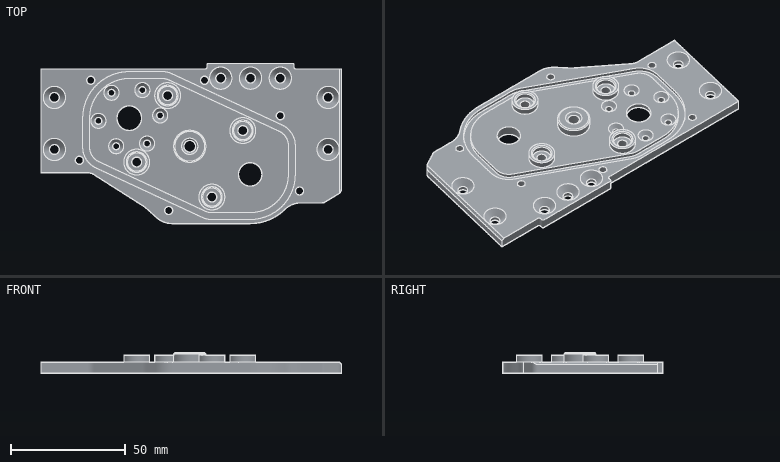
import cadquery as cq
import math

LENGTH = 130.8
THICKNESS = 5.0
BACK_EDGE = 67.4
LEFT_FRONT_EDGE = 22.1
RIGHT_FRONT_EDGE = 9.0
END_CHAMFER = 1.0

TAB_LEFT = 72.2
TAB_RIGHT = 110.2
TAB_BACK = 69.7
TAB_FILLET = 0.7

SHALLOW_RUN_START = 21.9
SLOPE_CHANGE = (45.3, 7.2)
STEEP_RUN_END = 53.3
SLOPE_START_FILLET = 5.0
SLOPE_CHANGE_FILLET = 11.8
SLOPE_END_FILLET = 10.0

CORNER_RADIUS = 21.5
SWEEP_RADIUS = 10.0
BEVEL_START = 123.0
BEVEL_END = 13.7
BEVEL_START_FILLET = 2.0
BEVEL_END_FILLET = 3.0

LEFT_SHAFT = (38.5, 45.9)
RIGHT_SHAFT = (91.1, 21.5)
HUB_CENTER = (
    (LEFT_SHAFT[0] + RIGHT_SHAFT[0]) / 2,
    (LEFT_SHAFT[1] + RIGHT_SHAFT[1]) / 2,
)
SHAFT_AXIS_ANGLE = math.atan2(LEFT_SHAFT[1] - RIGHT_SHAFT[1], RIGHT_SHAFT[0] - LEFT_SHAFT[0])
LEFT_SHAFT_HOLE = 10.6
LEFT_SHAFT_RECESS = 20.0
LEFT_SHAFT_RECESS_DEPTH = 2.5
RIGHT_SHAFT_HOLE = 10.1

GROOVE_SHAFT_RADIUS_LEFT = 20.3
GROOVE_SHAFT_RADIUS_RIGHT = 19.6
GROOVE_FILLET = 10.0
GROOVE_WIDTH = 3.0
GROOVE_DEPTH = 2.0
GROOVE_TOP_BEND = 55.0
GROOVE_BOTTOM_BEND = 72.2

HUB_DIAMETER = 14.0
HUB_TOP = 9.0
HUB_RIM_CHAMFER = 0.5
HUB_BORE = 5.0
HUB_BORE_CHAMFER = 1.0

BOSS_CIRCLE_RADIUS = 24.1
BOSS_SPREAD = 41.5
BOSS_DIAMETER = 11.3
BOSS_TOP = 8.0
BOSS_BORE = 4.2
BOSS_COUNTERBORE = 8.0
BOSS_COUNTERBORE_DEPTH = 3.0
BOSS_MOUTH_CHAMFER = 0.5

RING_COUNT = 6
RING_RADIUS = 13.5
RING_FIRST_ANGLE = 5.0
RING_HOLE = 2.9
RING_SINK = 6.5

MOUNT_HOLE = 4.2
MOUNT_SINK = 9.7
END_HOLE_INSET = 5.9
END_HOLE_ROWS = (32.3, 55.0)
TAB_HOLE_ROW = 63.3
TAB_HOLE_MIDDLE = 91.2
TAB_HOLE_PITCH = 13.0

COVER_HOLE = 3.4
COVER_HOLE_POINTS = [
    (21.7, 62.4),
    (71.2, 62.4),
    (104.2, 47.0),
    (112.5, 14.3),
    (55.6, 5.8),
    (16.7, 27.6),
]


def circle_points(center, radius, count, first_angle):
    """Points evenly spaced around a circle, first_angle in degrees."""
    angles = [math.radians(first_angle + 360 / count * i) for i in range(count)]
    return [(center[0] + radius * math.cos(a), center[1] + radius * math.sin(a)) for a in angles]


def fillet_upright(body, point, radius):
    """Round the upright edge of body that stands at the given XY point."""
    probe = 0.3
    low = (point[0] - probe, point[1] - probe, -1.3)
    high = (point[0] + probe, point[1] + probe, HUB_TOP)
    return body.edges(cq.selectors.BoxSelector(low, high)).edges("|Z").fillet(radius)


def make_plate():
    """Flat plate with its rounded outline and bevelled right end."""
    turn = math.acos(1 - RIGHT_FRONT_EDGE / (CORNER_RADIUS + SWEEP_RADIUS))
    corner_x = RIGHT_SHAFT[0]

    def on_corner(angle):
        return (corner_x + CORNER_RADIUS * math.sin(angle), CORNER_RADIUS * (1 - math.cos(angle)))

    sweep_end = corner_x + (CORNER_RADIUS + SWEEP_RADIUS) * math.sin(turn)

    def on_sweep(angle):
        return (
            sweep_end - SWEEP_RADIUS * math.sin(angle),
            RIGHT_FRONT_EDGE - SWEEP_RADIUS * (1 - math.cos(angle)),
        )

    slope_start = (SHALLOW_RUN_START, LEFT_FRONT_EDGE)
    slope_end = (STEEP_RUN_END, 0)
    bevel_start = (BEVEL_START, RIGHT_FRONT_EDGE)
    bevel_end = (LENGTH, BEVEL_END)
    tab_corners = [
        (TAB_RIGHT, BACK_EDGE),
        (TAB_RIGHT, TAB_BACK),
        (TAB_LEFT, TAB_BACK),
        (TAB_LEFT, BACK_EDGE),
    ]
    plate = (
        cq.Workplane("XY")
        .moveTo(0, BACK_EDGE)
        .lineTo(0, LEFT_FRONT_EDGE)
        .lineTo(*slope_start)
        .lineTo(*SLOPE_CHANGE)
        .lineTo(*slope_end)
        .lineTo(corner_x, 0)
        .threePointArc(on_corner(turn / 2), on_corner(turn))
        .threePointArc(on_sweep(turn / 2), (sweep_end, RIGHT_FRONT_EDGE))
        .lineTo(*bevel_start)
        .lineTo(*bevel_end)
        .lineTo(LENGTH, BACK_EDGE)
    )
    for corner in tab_corners:
        plate = plate.lineTo(*corner)
    plate = plate.close().extrude(THICKNESS)

    plate = fillet_upright(plate, slope_start, SLOPE_START_FILLET)
    plate = fillet_upright(plate, SLOPE_CHANGE, SLOPE_CHANGE_FILLET)
    plate = fillet_upright(plate, slope_end, SLOPE_END_FILLET)
    plate = fillet_upright(plate, bevel_start, BEVEL_START_FILLET)
    for corner in tab_corners:
        plate = fillet_upright(plate, corner, TAB_FILLET)
    plate = fillet_upright(plate, bevel_end, BEVEL_END_FILLET)
    return plate.cut(make_end_chamfer())


def make_end_chamfer():
    """Wedge that bevels the top of the right end at 45 degrees."""
    return (
        cq.Workplane("XZ")
        .moveTo(LENGTH - END_CHAMFER, THICKNESS)
        .lineTo(LENGTH, THICKNESS)
        .lineTo(LENGTH, THICKNESS - END_CHAMFER)
        .close()
        .extrude(-BACK_EDGE)
    )


def make_groove():
    """Ring-shaped solid that fills the seal groove."""
    left = LEFT_SHAFT[0] - GROOVE_SHAFT_RADIUS_LEFT
    top = LEFT_SHAFT[1] + GROOVE_SHAFT_RADIUS_LEFT
    right = RIGHT_SHAFT[0] + GROOVE_SHAFT_RADIUS_RIGHT
    bottom = RIGHT_SHAFT[1] - GROOVE_SHAFT_RADIUS_RIGHT
    fall = math.tan(SHAFT_AXIS_ANGLE)
    rounded_corners = [
        ((left, top), GROOVE_SHAFT_RADIUS_LEFT),
        ((GROOVE_TOP_BEND, top), GROOVE_FILLET),
        ((right, top - (right - GROOVE_TOP_BEND) * fall), GROOVE_FILLET),
        ((right, bottom), GROOVE_SHAFT_RADIUS_RIGHT),
        ((GROOVE_BOTTOM_BEND, bottom), GROOVE_FILLET),
        ((left, bottom + (GROOVE_BOTTOM_BEND - left) * fall), GROOVE_FILLET),
    ]
    floor = THICKNESS - GROOVE_DEPTH
    outer = cq.Workplane("XY").polyline([point for point, _ in rounded_corners]).close().extrude(THICKNESS)
    for point, radius in rounded_corners:
        outer = fillet_upright(outer, point, radius)
    inner = outer.faces("<Z").wires().toPending().offset2D(-GROOVE_WIDTH).extrude(THICKNESS, combine=False)
    return outer.cut(inner).translate((0, 0, floor))


def cylinders(points, diameter, bottom, top):
    """Upright cylinders between two heights, one at each point."""
    start = cq.Workplane("XY").workplane(offset=bottom)
    return start.pushPoints(points).circle(diameter / 2).extrude(top - bottom)


def cones(points, bottom_diameter, bottom, top_diameter, top):
    """Upright cone frustums between two heights, one at each point."""
    cone = cq.Solid.makeCone(bottom_diameter / 2, top_diameter / 2, top - bottom)
    solids = [cone.translate(cq.Vector(x, y, bottom)) for x, y in points]
    return cq.Workplane("XY").newObject(solids).combine()


def drill(body, points, diameter):
    return body.cut(cylinders(points, diameter, 0, HUB_TOP))


def chamfer_mouth(body, points, diameter, chamfer, top):
    """Open a hole mouth at height top with a 45 degree chamfer."""
    return body.cut(cones(points, diameter, top - chamfer, diameter + 2 * chamfer, top))


def drill_countersunk(body, points, hole, sink):
    """Through holes whose mouths open at 45 degrees to the sink diameter."""
    return chamfer_mouth(drill(body, points, hole), points, hole, (sink - hole) / 2, THICKNESS)


def add_hub(body):
    center = [HUB_CENTER]
    hub = cylinders(center, HUB_DIAMETER, 0, HUB_TOP).faces(">Z").edges().chamfer(HUB_RIM_CHAMFER)
    body = drill(body.union(hub), center, HUB_BORE)
    return chamfer_mouth(body, center, HUB_BORE, HUB_BORE_CHAMFER, HUB_TOP)


def add_bosses(body):
    points = []
    for offset in (-BOSS_SPREAD, BOSS_SPREAD):
        angle = offset - math.degrees(SHAFT_AXIS_ANGLE)
        points += circle_points(HUB_CENTER, BOSS_CIRCLE_RADIUS, 2, angle)
    body = drill(body.union(cylinders(points, BOSS_DIAMETER, 0, BOSS_TOP)), points, BOSS_BORE)
    counterbore_floor = BOSS_TOP - BOSS_COUNTERBORE_DEPTH
    body = body.cut(cylinders(points, BOSS_COUNTERBORE, counterbore_floor, BOSS_TOP))
    return chamfer_mouth(body, points, BOSS_COUNTERBORE, BOSS_MOUTH_CHAMFER, BOSS_TOP)


def drill_plate(body):
    ring = circle_points(LEFT_SHAFT, RING_RADIUS, RING_COUNT, RING_FIRST_ANGLE)
    end_columns = (END_HOLE_INSET, LENGTH - END_HOLE_INSET)
    mounts = [(x, y) for x in end_columns for y in END_HOLE_ROWS]
    mounts += [(TAB_HOLE_MIDDLE + i * TAB_HOLE_PITCH, TAB_HOLE_ROW) for i in (-1, 0, 1)]
    body = drill(body, [LEFT_SHAFT], LEFT_SHAFT_HOLE)
    body = body.cut(cylinders([LEFT_SHAFT], LEFT_SHAFT_RECESS, 0, LEFT_SHAFT_RECESS_DEPTH))
    body = drill(body, [RIGHT_SHAFT], RIGHT_SHAFT_HOLE)
    body = drill(body, COVER_HOLE_POINTS, COVER_HOLE)
    body = drill_countersunk(body, ring, RING_HOLE, RING_SINK)
    return drill_countersunk(body, mounts, MOUNT_HOLE, MOUNT_SINK)


plate = drill_plate(make_plate().cut(make_groove()))
result = add_bosses(add_hub(plate))